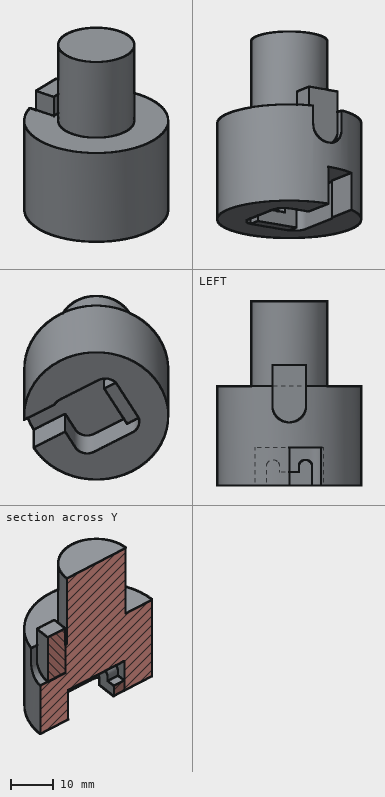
import cadquery as cq

drum_diameter = 34.0
drum_height = 23.5
shaft_diameter = 18.0
total_height = 43.5
drum_radius = drum_diameter / 2

cavity_length_x = 16.88
cavity_width_y = 16.1
cavity_corner_radius = 3.2

notch_width = 7.53
notch_height = 9.0

post_width = 3.18
post_height = 6.1
post_offset_y = 3.83
base_height = 3.25
insert_thickness = 3.18

key_width = 8.0
key_outer_x = -14.8
key_inner_x = -9.5
key_bottom_z = 14.9
key_top_z = 28.5


def make_key_shape(outer_x, inner_x):
    """Round-bottomed, flat-topped bar running along X."""
    key_radius = key_width / 2
    round_center_z = key_bottom_z + key_radius
    return (
        cq.Workplane("YZ", origin=(outer_x, 0, 0))
        .moveTo(-key_radius, key_top_z)
        .lineTo(-key_radius, round_center_z)
        .threePointArc((0, key_bottom_z), (key_radius, round_center_z))
        .lineTo(key_radius, key_top_z)
        .close()
        .extrude(inner_x - outer_x)
    )


def make_cavity():
    """Volume of the cavity, as deep as the side notch is high."""
    return (
        cq.Workplane("XY")
        .rect(cavity_length_x, cavity_width_y)
        .extrude(notch_height)
        .edges("|Z")
        .fillet(cavity_corner_radius)
    )


def make_notch():
    """Notch volume, with one wall on the drum's XZ midplane."""
    return (
        cq.Workplane("XY", origin=(-drum_radius, -notch_width, 0))
        .box(drum_radius, notch_width, notch_height, centered=False)
    )


def make_drum():
    """Drum and shaft in one piece, with the cavity, notch and key slot cut."""
    drum = cq.Workplane("XY").circle(drum_radius).extrude(drum_height)
    shaft = cq.Workplane("XY").circle(shaft_diameter / 2).extrude(total_height)
    key_slot = make_key_shape(-drum_radius, key_inner_x)
    return drum.union(shaft).cut(make_cavity()).cut(make_notch()).cut(key_slot)


def make_insert():
    """Base with two round-topped posts, trimmed to the cavity's rounded corners."""
    post_radius = post_width / 2
    spring_z = post_height - post_radius
    base_width = 2 * post_offset_y + post_width
    face_origin = (cavity_length_x / 2 - insert_thickness, 0, 0)
    insert = (
        cq.Workplane("YZ", origin=face_origin)
        .center(0, base_height / 2)
        .rect(base_width, base_height)
        .extrude(insert_thickness)
    )
    for post_y in (-post_offset_y, post_offset_y):
        post = (
            cq.Workplane("YZ", origin=face_origin)
            .moveTo(post_y - post_radius, 0)
            .lineTo(post_y - post_radius, spring_z)
            .threePointArc((post_y, post_height), (post_y + post_radius, spring_z))
            .lineTo(post_y + post_radius, 0)
            .close()
            .extrude(insert_thickness)
        )
        insert = insert.union(post)
    return insert.intersect(make_cavity())


drum = make_drum()
key = make_key_shape(key_outer_x, key_inner_x)
insert = make_insert()

result = cq.Compound.makeCompound([drum.val(), key.val(), insert.val()])